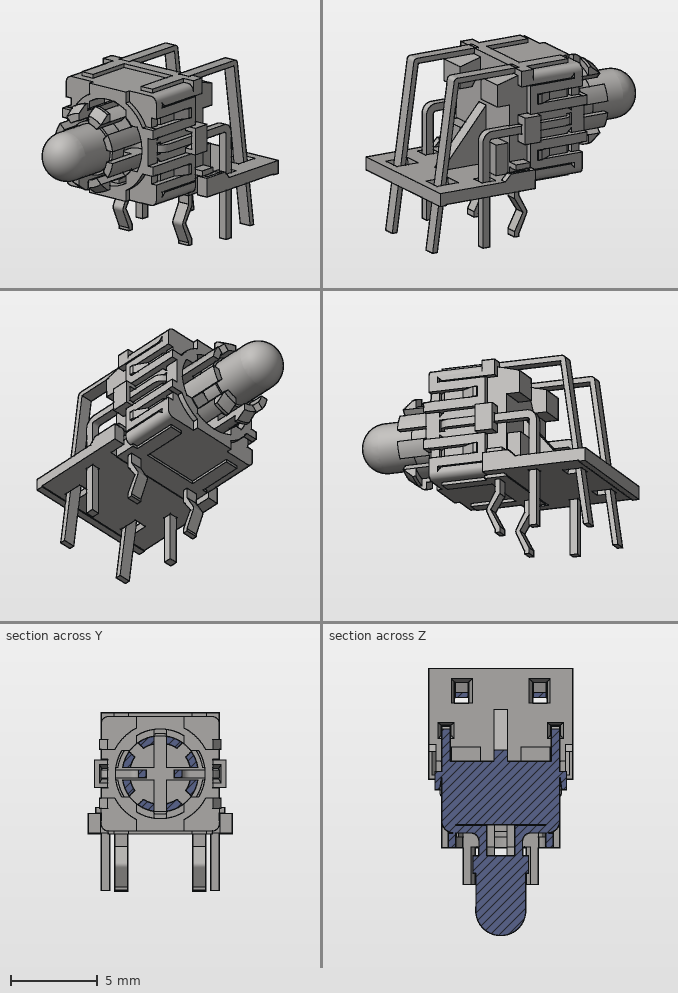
import cadquery as cq


overlap = 0.15

led_radius = 1.45
led_flange_radius = 1.6
led_back = -0.45
led_flange_front = -1.48
led_tip = -5.07

half_width = 3.4
half_height = 3.3
corner_radius = 0.42
housing_back = 3.8
front_step = 0.32
arm_tip = 0.85
cap_front = 3.62
cap_back = 4.4
body_half_width = 2.99
body_back = 4.99
top = 3.53
bottom = -3.48
bottom_cap_half_width = 3.0
pad_inner = 1.82
pad_outer = 2.66
cross_half_x = 1.37
cross_half_z = 1.39
boss_radius = 2.97

cavity_depth = 1.32
lobe_radius = 2.59
lobe_half_z = 1.34
ledge_depth = 0.62
side_ledge_radius = 2.46
slot_ledge_radius = 2.33
slot_step_depth = 0.92
slot_step_low = 2.17
core_front = 0.05
finger_inner = 1.75
finger_outer = 2.2
finger_tip = -2.13
slot_half = 0.35
hook_radius = 2.62
hook_back = -1.34
hook_flat_end = -1.54
hook_half_width = 1.3

channel_floor = 3.03
channel_half = 0.83
tip_chamfer = 0.3
latch_slot_low = 1.4
latch_slot_high = 1.99
latch_slot_back = 3.34
latch_flat_end = 3.11
latch_ramp_end = 2.31
latch_reach = 3.51
seam_low = 2.54
seam_high = 2.59
seam_depth = 0.08
guide_reach = 3.79
guide_half_height = 0.8
guide_window_half = 0.52
guide_exit_half = 0.3
guide_exit_reach = 3.35
tab_reach = 3.73
tab_front = 4.03
tab_low = -2.26
tab_high = -1.94

block_inner = 1.17
block_back = 5.79
lower_block_half_width = 2.85
upper_block_low = 1.48
upper_block_back_high = 2.8
upper_block_front_high = 3.17
lower_block_high = -0.85
ridge_top = 2.15
ridge_half_width = 0.68
rib_half_width = 0.4
rib_high = 0.79
rib_back = 7.96

plate_half_width = 4.15
plate_back = 10.33
plate_top = -2.7
plate_bottom = -3.42
foot_front = 9.92
rail_inner = 3.73
rail_chamfer = 0.23
rail_top = -2.28
rail_ramp_back = 5.96
rail_ramp_front = 5.56
rail_front = 3.95
rail_end_thickness = 0.26
arm_inner = 3.43
strip_hole_top = (1.63, 2.85, 8.33, 9.76)
strip_hole_exit = (1.85, 2.66, 8.33, 9.53)
pin_hole_top = (2.7, 3.6, 6.28, 7.2)
pin_hole_exit = (2.88, 3.42, 6.5, 7.05)

strip_x = 2.25
strip_width = 0.75
strip_thickness = 0.32
strip_bend_y = 8.45
strip_end_y = 9.93
strip_end_z = -6.78
strip_bend_radius = 0.25
strip_front_radius = 0.26
tail_front = 4.13
tail_thickness = 0.3
tail_kink = 0.57
tail_first_bend = -4.19
tail_peak = -5.27
tail_last_bend = -6.35
tail_bend_drop = 0.17
tail_peak_radius = 0.3
tail_end = -6.68
pin_outer = 3.4
pin_width = 0.51
pin_thickness = 0.46
pin_back = 7.0
pin_end = -6.73
pin_bend_radius = 0.15
pin_turn_radius = 0.7
leg_outer = 1.26
leg_bend_radius = 0.46


def box(x0, x1, y0, y1, z0, z1):
    """Block between two opposite corners."""
    return cq.Workplane("XY").box(x1 - x0, y1 - y0, z1 - z0, centered=False).translate((x0, y0, z0))


def wide_box(half_x, y0, y1, z0, z1):
    """Block symmetric about x = 0."""
    return box(-half_x, half_x, y0, y1, z0, z1)


def side_prism(points, x0, x1):
    """Outline of (y, z) points extruded from x0 to x1."""
    return cq.Workplane("YZ", origin=(x0, 0, 0)).polyline(points).close().extrude(x1 - x0)


def plan_prism(points, z0, z1):
    """Outline of (x, y) points extruded from z0 to z1."""
    return cq.Workplane("XY", origin=(0, 0, z0)).polyline(points).close().extrude(z1 - z0)


def cylinder(radius, y0, y1):
    """Cylinder about the Y axis."""
    return cq.Workplane("XZ", origin=(0, y1, 0)).circle(radius).extrude(y1 - y0)


def both_sides(shape):
    """The shape together with its mirror image at -X."""
    return shape.union(shape.mirror("YZ"))


def both_heights(shape):
    """The shape together with its mirror image at -Z."""
    return shape.union(shape.mirror("XY"))


def make_led():
    flange = cylinder(led_flange_radius, led_flange_front, led_back)
    dome_center = led_tip + led_radius
    dome = cq.Workplane("XY").sphere(led_radius).translate((0, dome_center, 0))
    return flange.union(cylinder(led_radius, dome_center, led_back)).union(dome)


def make_shell():
    """Rounded outer block with a raised cross and round boss on its front."""
    shell = wide_box(half_width, 0, housing_back, -half_height, half_height).edges("|Y").fillet(corner_radius)
    raised = cylinder(boss_radius, 0, front_step)
    raised = raised.union(wide_box(cross_half_x, 0, front_step, -half_height, half_height))
    raised = raised.union(wide_box(half_width, 0, front_step, -cross_half_z, cross_half_z))
    return shell.cut(wide_box(half_width, 0, front_step, -half_height, half_height).cut(raised))


def make_pads():
    """Cap bar and two strips on the top, and the same on the bottom."""
    top_cap = wide_box(half_width, cap_front, cap_back, seam_high, top)
    bottom_cap = wide_box(bottom_cap_half_width, cap_front, body_back, bottom, -seam_high)
    strips = both_sides(box(pad_inner, pad_outer, arm_tip, cap_back, bottom, top))
    return top_cap.union(bottom_cap).union(strips)


def make_rear_body():
    """Narrower rear body with upper and lower blocks and a triangular centre rib."""
    body = wide_box(body_half_width, housing_back, body_back, bottom, upper_block_low)
    body = body.union(wide_box(body_half_width, housing_back, cap_back, upper_block_low, half_height))
    upper_block = side_prism(
        [
            (cap_back, upper_block_low),
            (block_back, upper_block_low),
            (block_back, upper_block_back_high),
            (cap_back, upper_block_front_high),
        ],
        block_inner,
        body_half_width,
    )
    lower_block = box(
        block_inner, lower_block_half_width, body_back, block_back, plate_top, lower_block_high
    )
    ridge = cq.Workplane("XZ", origin=(0, body_back, 0)).polyline(
        [
            (-block_inner, upper_block_low),
            (block_inner, upper_block_low),
            (ridge_half_width, ridge_top),
            (-ridge_half_width, ridge_top),
        ]
    ).close().extrude(body_back - cap_back)
    rib = side_prism(
        [(body_back, plate_top), (rib_back, plate_top), (body_back, rib_high)], -rib_half_width, rib_half_width
    )
    tab = box(body_half_width, tab_reach, tab_front, body_back, tab_low, tab_high)
    return body.union(both_sides(upper_block.union(lower_block).union(tab))).union(ridge).union(rib)


def make_cavity():
    """Cross-shaped front cavity with rounded ends and a round middle."""
    cross = wide_box(cross_half_x, 0, cavity_depth, -lobe_radius, lobe_radius)
    cross = cross.union(wide_box(lobe_radius, 0, cavity_depth, -lobe_half_z, lobe_half_z))
    cross = cross.intersect(cylinder(lobe_radius, 0, cavity_depth))
    return cross.union(cylinder(finger_outer, 0, cavity_depth))


def make_ledges():
    """Ledges inside the lobes: at the sides beside the level slot, at top and bottom in the upright slot."""
    rim = cylinder(lobe_radius, ledge_depth, cavity_depth)
    side_rim = rim.cut(cylinder(side_ledge_radius, ledge_depth, cavity_depth))
    slot_rim = rim.cut(cylinder(slot_ledge_radius, ledge_depth, cavity_depth))
    side_zone = wide_box(lobe_radius, ledge_depth, cavity_depth, slot_half, lobe_half_z)
    slot_zone = wide_box(slot_half, ledge_depth, cavity_depth, cross_half_z, lobe_radius)
    slot_step = wide_box(slot_half, slot_step_depth, cavity_depth, slot_step_low, slot_ledge_radius)
    return both_heights(side_rim.intersect(side_zone).union(slot_rim.intersect(slot_zone)).union(slot_step))


def make_ring_slots():
    """Upright and level slots and the two diagonal slots that part the clip ring into fingers."""
    blade = wide_box(hook_radius, finger_tip, cavity_depth, -slot_half, slot_half)
    cross = blade.union(blade.rotate((0, 0, 0), (0, 1, 0), 90))
    diagonal = cross.rotate((0, 0, 0), (0, 1, 0), 45)
    return cross, diagonal


def make_clip_ring():
    """Eight fingers, hooked at top and bottom, around a core that is split by the crossed slots."""
    cross, diagonal = make_ring_slots()
    ring = cylinder(finger_outer, finger_tip, cavity_depth).cut(cylinder(finger_inner, finger_tip, cavity_depth))
    hook_ring = cq.Workplane("XY").polyline(
        [
            (finger_inner, hook_back),
            (hook_radius, hook_back),
            (hook_radius, hook_flat_end),
            (finger_outer, finger_tip),
            (finger_inner, finger_tip),
        ]
    ).close().revolve(360, (0, 0, 0), (0, 1, 0))
    hooks = hook_ring.intersect(
        both_heights(wide_box(hook_half_width, finger_tip, hook_back, hook_half_width, hook_radius))
    )
    fingers = ring.union(hooks).cut(cross).cut(diagonal)
    core = cylinder(finger_outer, core_front, cavity_depth).cut(cross)
    return fingers.union(core)


def make_side_cuts():
    """Lead channel, latch slots, seams and tip notches of the +X side."""
    outside = half_width + overlap
    notch_floor = channel_floor - tip_chamfer
    notch_back = arm_tip + tip_chamfer
    cuts = box(channel_floor, outside, 0, cap_back, -channel_half, channel_half)
    cuts = cuts.union(box(lobe_radius - overlap, outside, arm_tip, notch_back, -slot_half, slot_half))

    slot = box(channel_floor, outside, 0, latch_slot_back, latch_slot_low, latch_slot_high)
    ramp_notch = plan_prism(
        [(channel_floor, arm_tip), (notch_floor, arm_tip), (channel_floor, notch_back)],
        latch_slot_low,
        latch_slot_high,
    )
    seam = box(half_width - seam_depth, outside, arm_tip, housing_back, seam_low, seam_high)
    cap_notch = side_prism(
        [(arm_tip, seam_low), (notch_back, seam_low), (arm_tip, seam_low + tip_chamfer)], channel_floor, outside
    )
    channel_notch = side_prism(
        [(arm_tip, channel_half), (notch_back, channel_half), (arm_tip, channel_half - tip_chamfer)],
        notch_floor,
        outside,
    )
    upper_cuts = slot.union(ramp_notch).union(seam).union(cap_notch).union(channel_notch)
    return cuts.union(both_heights(upper_cuts))


def make_latches():
    """Wedge-shaped latches in the two slots of the +X side."""
    latch = plan_prism(
        [
            (channel_floor - overlap, latch_slot_back),
            (latch_reach, latch_slot_back),
            (latch_reach, latch_flat_end),
            (channel_floor, latch_ramp_end),
            (channel_floor - overlap, latch_ramp_end),
        ],
        latch_slot_low,
        latch_slot_high,
    )
    return both_heights(latch)


def make_lead_guide():
    """Bracket on the +X side with a tapered window for the lead."""
    guide = box(
        channel_floor - overlap, guide_reach, latch_slot_back, cap_back, -guide_half_height, guide_half_height
    )
    window_width = latch_reach - channel_floor
    exit_width = guide_exit_reach - channel_floor
    window = (
        cq.Workplane("XZ", origin=(channel_floor + window_width / 2, latch_slot_back, 0))
        .rect(window_width, 2 * guide_window_half)
        .workplane(offset=latch_slot_back - cap_back)
        .center((exit_width - window_width) / 2, 0)
        .rect(exit_width, 2 * guide_exit_half)
        .loft()
    )
    return guide.cut(window)


def make_funnel(top_opening, exit_opening):
    """Tapered lead hole through the plate; an opening is (x0, x1, y0, y1)."""
    x0, x1, y0, y1 = top_opening
    exit_x0, exit_x1, exit_y0, exit_y1 = exit_opening
    return (
        cq.Workplane("XY", origin=(0, 0, plate_top))
        .center((x0 + x1) / 2, (y0 + y1) / 2)
        .rect(x1 - x0, y1 - y0)
        .workplane(offset=plate_bottom - plate_top)
        .center((exit_x0 + exit_x1 - x0 - x1) / 2, (exit_y0 + exit_y1 - y0 - y1) / 2)
        .rect(exit_x1 - exit_x0, exit_y1 - exit_y0)
        .loft()
    )


def make_plate():
    plate = wide_box(plate_half_width, body_back, plate_back, plate_bottom, plate_top)
    plate = plate.union(wide_box(plate_half_width, foot_front, plate_back, bottom, plate_top))

    arm = box(arm_inner, plate_half_width, rail_front, body_back, plate_bottom, plate_top)
    rail = side_prism(
        [
            (rail_front, plate_bottom),
            (rail_ramp_back, plate_bottom),
            (rail_ramp_back, plate_top),
            (rail_ramp_front, rail_top),
            (rail_front, rail_top),
        ],
        rail_inner,
        plate_half_width,
    )
    rail_bevel = cq.Workplane("XZ", origin=(0, rail_ramp_front, 0)).polyline(
        [(rail_inner, rail_top - rail_chamfer), (rail_inner + rail_chamfer, rail_top), (rail_inner, rail_top)]
    ).close().extrude(rail_ramp_front - rail_front)
    rail_end = box(
        arm_inner, plate_half_width, rail_front, rail_front + rail_end_thickness, plate_bottom, rail_top
    )
    plate = plate.union(both_sides(arm.union(rail.cut(rail_bevel)).union(rail_end)))

    strip_hole = make_funnel(strip_hole_top, strip_hole_exit)
    pin_hole = make_funnel(pin_hole_top, pin_hole_exit)
    return plate.cut(both_sides(strip_hole.union(pin_hole)))


def strip_box(y0, y1, z0, z1):
    """Block as wide as the flat lead, at its place on the +X side."""
    return box(strip_x - strip_width / 2, strip_x + strip_width / 2, y0, y1, z0, z1)


def make_strip_lead():
    """Flat lead: rises through the cap, runs backwards and slopes down through the plate."""
    slope = (strip_end_y - strip_bend_y) / (top - strip_end_z)
    inner_z = top - strip_thickness
    inner_bend_y = strip_bend_y - strip_thickness + slope * strip_thickness
    lead = side_prism(
        [
            (tail_front, top),
            (strip_bend_y, top),
            (strip_end_y, strip_end_z),
            (strip_end_y - strip_thickness, strip_end_z),
            (inner_bend_y, inner_z),
            (tail_front, inner_z),
        ],
        strip_x - strip_width / 2,
        strip_x + strip_width / 2,
    )
    lead = lead.edges(cq.NearestToPointSelector((strip_x, strip_bend_y, top))).fillet(strip_bend_radius)
    return lead.edges(cq.NearestToPointSelector((strip_x, tail_front, top))).fillet(strip_front_radius)


def make_kinked_tail():
    """Kinked retention tail below the housing."""
    tail_back = tail_front + tail_thickness
    peak_front = tail_front - tail_kink
    tail = side_prism(
        [
            (tail_front, -half_height),
            (tail_front, tail_first_bend),
            (peak_front, tail_peak),
            (tail_front, tail_last_bend - tail_bend_drop),
            (tail_front, tail_end),
            (tail_back, tail_end),
            (tail_back, tail_last_bend),
            (peak_front + tail_thickness, tail_peak),
            (tail_back, tail_first_bend - tail_bend_drop),
            (tail_back, -half_height),
        ],
        strip_x - strip_width / 2,
        strip_x + strip_width / 2,
    )
    return tail.edges(cq.NearestToPointSelector((strip_x, peak_front, tail_peak))).fillet(tail_peak_radius)


def make_pin_lead():
    """LED lead: from the LED outwards, back along the side channel and down through the plate."""
    pin_inner = pin_outer - pin_width
    half = pin_thickness / 2
    run_back = arm_tip + pin_thickness
    run = plan_prism(
        [
            (leg_outer - pin_thickness, led_back),
            (leg_outer, led_back),
            (leg_outer, arm_tip),
            (pin_outer, arm_tip),
            (pin_outer, pin_back),
            (pin_inner, pin_back),
            (pin_inner, run_back),
            (leg_outer - pin_thickness, run_back),
        ],
        -half,
        half,
    )
    run = run.edges(cq.NearestToPointSelector((pin_outer, arm_tip, 0))).fillet(pin_turn_radius)
    run = run.edges(cq.NearestToPointSelector((leg_outer, arm_tip, 0))).fillet(leg_bend_radius)
    drop = box(pin_inner, pin_outer, pin_back - pin_thickness, pin_back, pin_end, half)
    lead = run.union(drop)
    middle = (pin_inner + pin_outer) / 2
    outside_corner = cq.NearestToPointSelector((middle, pin_back, half))
    inside_corner = cq.NearestToPointSelector((middle, pin_back - pin_thickness, -half))
    lead = lead.edges(outside_corner).fillet(pin_bend_radius + pin_thickness)
    return lead.edges(inside_corner).fillet(pin_bend_radius)


housing = make_shell().union(make_pads()).cut(both_sides(make_side_cuts()))
housing = housing.cut(make_cavity()).union(make_ledges()).union(make_clip_ring()).union(make_rear_body())
strip_notch = strip_box(tail_front, cap_back, top - strip_thickness, top)
housing = housing.cut(both_sides(strip_notch))
side_parts = make_latches().union(make_lead_guide()).union(make_strip_lead()).union(make_kinked_tail())
side_parts = side_parts.union(make_pin_lead())

result = housing.union(make_plate()).union(both_sides(side_parts)).union(make_led())